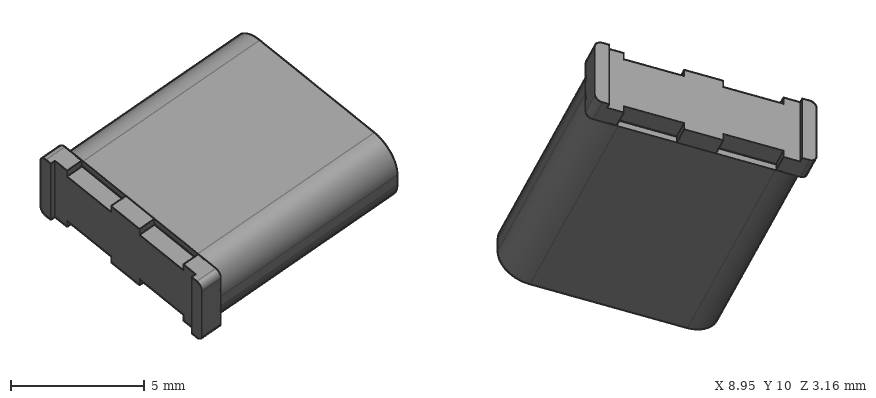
import cadquery as cq

WIDTH = 8.95
LENGTH = 10.0
HEIGHT = 3.16

PLATE_DEPTH = 0.97
SLEEVE_EDGE_RADIUS = 1.3
WALL = 0.3

PLATE_CORNER_RADIUS = 0.3
LIP_WIDTH = 0.58
LIP_DEPTH = 0.21

NOTCH_WIDTH = 2.43
NOTCH_SPACING = 4.01
NOTCH_HEIGHT = 0.33


def rounded_block(width, depth, height, radius, front_y):
    """Block centred on the Y axis, with its edges along Y rounded."""
    return (
        cq.Workplane("XY")
        .box(width, depth, height)
        .edges("|Y")
        .fillet(radius)
        .translate((0, front_y + depth / 2, 0))
    )


def make_sleeve():
    """Heavily rounded tube of constant wall thickness."""
    length = LENGTH - PLATE_DEPTH
    outside = rounded_block(WIDTH, length, HEIGHT, SLEEVE_EDGE_RADIUS, PLATE_DEPTH)
    bore = rounded_block(
        WIDTH - 2 * WALL, length, HEIGHT - 2 * WALL, SLEEVE_EDGE_RADIUS - WALL, PLATE_DEPTH
    )
    return outside.cut(bore)


def make_notch(x, side):
    """Cutter for one notch; side is +1 for the top edge, -1 for the bottom edge."""
    return (
        cq.Workplane("XY")
        .box(NOTCH_WIDTH, PLATE_DEPTH, 2 * NOTCH_HEIGHT)
        .translate((x, PLATE_DEPTH / 2, side * HEIGHT / 2))
    )


def make_plate():
    """End plate with a raised lip at each end and four edge notches."""
    plate = rounded_block(WIDTH, PLATE_DEPTH, HEIGHT, PLATE_CORNER_RADIUS, 0)
    face_recess = cq.Workplane("XY").box(WIDTH - 2 * LIP_WIDTH, 2 * LIP_DEPTH, HEIGHT)
    plate = plate.cut(face_recess)
    for x in (-NOTCH_SPACING / 2, NOTCH_SPACING / 2):
        for side in (-1, 1):
            plate = plate.cut(make_notch(x, side))
    return plate


sleeve = make_sleeve()
plate = make_plate()

result = cq.Compound.makeCompound([sleeve.val(), plate.val()])